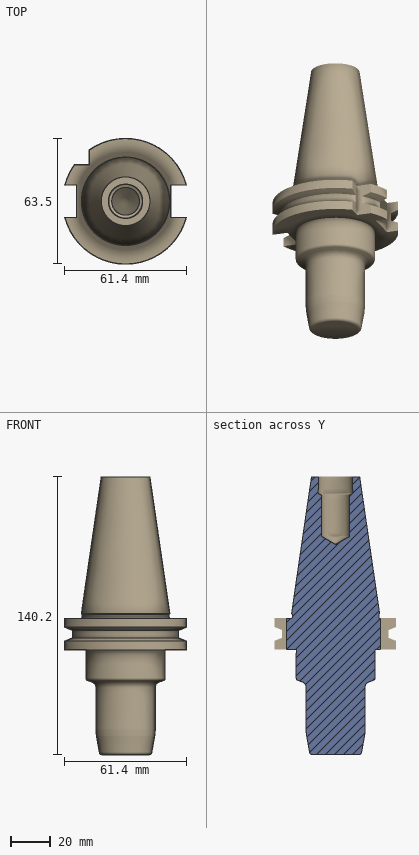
import cadquery as cq
import math


gauge_radius = 44.45 / 2
taper_slope = 7 / 48
taper_top_z = 68.25
taper_base_z = -0.7
taper_edge_height = 0.4
neck_radius = 44 / 2
neck_fillet = 0.6

flange_radius = 63.5 / 2
flange_top_z = -3.2
flange_thickness = 15.9
flange_bottom_z = flange_top_z - flange_thickness
groove_floor_radius = 56 / 2
groove_mid_z = (flange_top_z + flange_bottom_z) / 2
groove_floor_half_width = 1.93
groove_mouth_half_width = 3.5
slot_width = 16.2
slot_floor_left = 24.8
slot_floor_right = 22.8
notch_wall_x = 18.4
notch_wall_y = 18.5

nose_z = -72
collar_radius = 40 / 2
body_radius = 30 / 2
shoulder_angle = 20
shoulder_height = 37.8
shoulder_outer_z = nose_z + shoulder_height
shoulder_drop = (collar_radius - body_radius) * math.tan(math.radians(shoulder_angle))
shoulder_inner_z = shoulder_outer_z - shoulder_drop
shoulder_outer_fillet = 1.25
shoulder_inner_fillet = 2.5
nose_taper_angle = 10
nose_taper_height = 11.2
nose_taper_z = nose_z + nose_taper_height
nose_radius = body_radius - nose_taper_height * math.tan(math.radians(nose_taper_angle))
nose_blend_radius = 20
nose_edge_fillet = 1.5

pilot_radius = 17.01 / 2
pilot_depth = 6.6
relief_radius = 17.41 / 2
relief_depth = 8.3
drill_radius = 14 / 2
drill_depth = 30
bore_cone_slope = math.tan(math.radians(30))


def revolve_profile(points):
    """Revolve a closed outline of (radius, height) points about the Z axis."""
    return cq.Workplane("XZ").polyline(points).close().revolve(360, (0, 0, 0), (0, 1, 0))


def round_ring(body, height, radius):
    """Fillet the single circular edge centred on the axis at the given height."""
    tolerance = 0.01
    low = (-tolerance, -tolerance, height - tolerance)
    high = (tolerance, tolerance, height + tolerance)
    return body.edges(cq.selectors.BoxSelector(low, high)).fillet(radius)


def taper_radius(z):
    return gauge_radius - taper_slope * z


def make_shank():
    return revolve_profile([
        (0, taper_top_z),
        (taper_radius(taper_top_z), taper_top_z),
        (taper_radius(taper_base_z), taper_base_z),
        (neck_radius, taper_base_z - taper_edge_height),
        (neck_radius, flange_top_z),
        (0, flange_top_z),
    ])


def make_flange():
    return revolve_profile([
        (0, flange_top_z),
        (flange_radius, flange_top_z),
        (flange_radius, groove_mid_z + groove_mouth_half_width),
        (groove_floor_radius, groove_mid_z + groove_floor_half_width),
        (groove_floor_radius, groove_mid_z - groove_floor_half_width),
        (flange_radius, groove_mid_z - groove_mouth_half_width),
        (flange_radius, flange_bottom_z),
        (0, flange_bottom_z),
    ])


def flange_cutter(x_range, y_range):
    """Box through the full flange thickness over the given X and Y ranges."""
    length = x_range[1] - x_range[0]
    width = y_range[1] - y_range[0]
    return (
        cq.Workplane("XY")
        .box(length, width, flange_thickness, centered=False)
        .translate((x_range[0], y_range[0], flange_bottom_z))
    )


def cut_flange_openings(flange):
    slot_y = (-slot_width / 2, slot_width / 2)
    left_slot = flange_cutter((-flange_radius, -slot_floor_left), slot_y)
    right_slot = flange_cutter((slot_floor_right, flange_radius), slot_y)
    notch = flange_cutter((-flange_radius, -notch_wall_x), (notch_wall_y, flange_radius))
    return flange.cut(left_slot).cut(right_slot).cut(notch)


def make_body():
    body = revolve_profile([
        (0, flange_bottom_z),
        (collar_radius, flange_bottom_z),
        (collar_radius, shoulder_outer_z),
        (body_radius, shoulder_inner_z),
        (body_radius, nose_taper_z),
        (nose_radius, nose_z),
        (0, nose_z),
    ])
    body = round_ring(body, shoulder_outer_z, shoulder_outer_fillet)
    body = round_ring(body, shoulder_inner_z, shoulder_inner_fillet)
    body = round_ring(body, nose_taper_z, nose_blend_radius)
    return round_ring(body, nose_z, nose_edge_fillet)


def make_bore():
    relief_top_z = taper_top_z - pilot_depth
    relief_bottom_z = taper_top_z - relief_depth
    seat_bottom_z = relief_bottom_z - (relief_radius - drill_radius) * bore_cone_slope
    drill_bottom_z = taper_top_z - drill_depth
    drill_tip_z = drill_bottom_z - drill_radius * bore_cone_slope
    return revolve_profile([
        (0, taper_top_z),
        (pilot_radius, taper_top_z),
        (pilot_radius, relief_top_z),
        (relief_radius, relief_top_z),
        (relief_radius, relief_bottom_z),
        (drill_radius, seat_bottom_z),
        (drill_radius, drill_bottom_z),
        (0, drill_tip_z),
    ])


def make_neck_fillet():
    """Concave ring blending the neck into the top of the flange."""
    return (
        cq.Workplane("XZ")
        .moveTo(neck_radius, flange_top_z)
        .lineTo(neck_radius + neck_fillet, flange_top_z)
        .radiusArc((neck_radius, flange_top_z + neck_fillet), neck_fillet)
        .close()
        .revolve(360, (0, 0, 0), (0, 1, 0))
    )


flange = cut_flange_openings(make_flange())
result = make_shank().union(make_neck_fillet()).union(flange).union(make_body()).cut(make_bore())